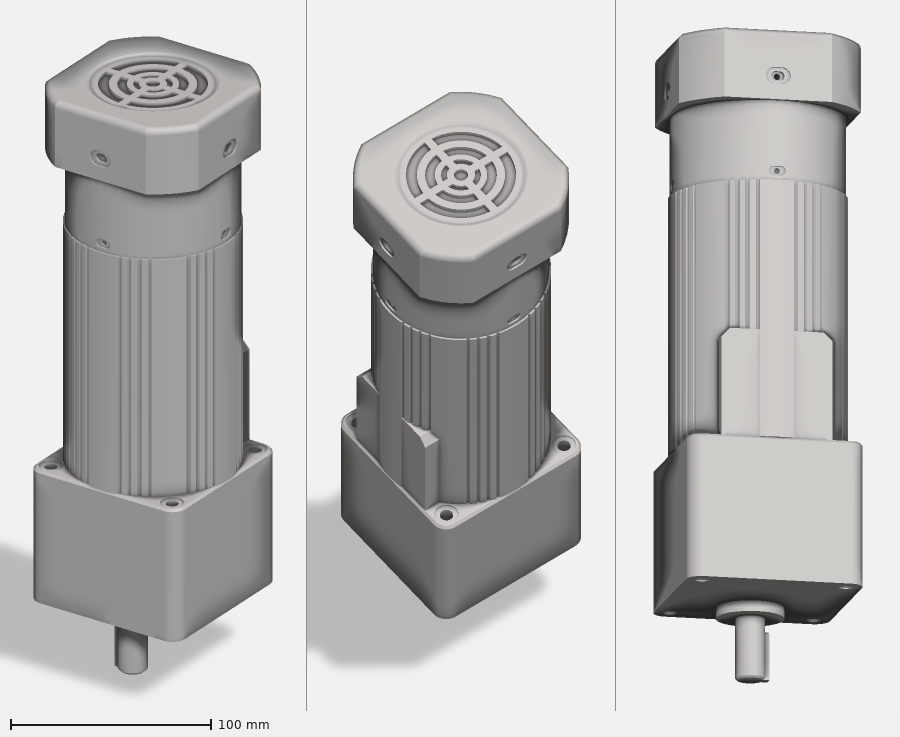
import cadquery as cq
total_height = 319.5
boss_bottom_z = 31.5
gearbox_bottom_z = 37.0
gearbox_top_z = 102.0
flange_top_z = 110.5
stator_top_z = 242.5
head_bottom_z = 283.5

gearbox_size = 90.0
gearbox_corner_radius = 7.7
flange_chamfer = 1.3
mount_hole_offset = 36.7
mount_hole_diameter = 6.7
spotface_diameter = 12.0
spotface_depth = 0.5

shaft_offset_y = -18.0
boss_diameter = 34.2
shaft_diameter = 15.0
shaft_chamfer = 1.0
key_width = 5.0
key_height = 5.0
key_length = 25.0
key_outer_x = -9.3

stator_diameter = gearbox_size
groove_group_count = 8
grooves_per_group = 4
groove_pitch_angle = 6.6
groove_diameter = 2.0

cable_box_length = 57.0
cable_box_outer_y = 43.8
cable_box_inner_y = 32.0
cable_box_side_top_z = 161.0
cable_box_top_z = 165.5
cable_box_slope_run = 4.5

sleeve_diameter = 88.2
head_size = 93.0
head_corner_diameter = 108.0
head_fillet = 3.5

grille_diameter = 66.5
grille_floor_diameter = 62.5
grille_recess_depth = 1.0
grille_slot_depth = 2.5
grille_spoke_width = 4.0
grille_hub_diameter = 7.0
grille_ring_radii = [(7.0, 10.0), (13.0, 18.0), (22.0, 27.5)]

head_opening_z = 295.5
head_pocket_length = 12.5
head_pocket_width = 8.5
head_pocket_depth = 1.0
head_slot_length = 6.7
head_slot_width = 4.8
head_slot_depth = 2.0
cross_hole_diameter = 3.2

screw_seat_z = 247.3
screw_seat_length = 8.5
screw_seat_width = 4.8
screw_seat_depth = 1.0
screw_hole_diameter = 3.0
screw_hole_depth = 3.0

side_angles = [0, 90, 180, 270]


def level(z):
    """Horizontal workplane at height z."""
    return cq.Workplane("XY").workplane(offset=z)


def front_plane(distance, z):
    """Plane facing -Y at the given distance from the Z axis."""
    return cq.Workplane("XZ", origin=(0, -distance, z))


def on_four_sides(cutter):
    """Copies of a -Y side cutter turned onto all four sides."""
    return [cutter.rotate((0, 0, 0), (0, 0, 1), angle) for angle in side_angles]


def rounded_block(bottom_z, top_z):
    block = level(bottom_z).rect(gearbox_size, gearbox_size).extrude(top_z - bottom_z)
    return block.edges("|Z").fillet(gearbox_corner_radius)


def mount_cylinders(diameter, bottom_z, top_z):
    spacing = 2 * mount_hole_offset
    points = level(bottom_z).rect(spacing, spacing, forConstruction=True).vertices()
    return points.circle(diameter / 2).extrude(top_z - bottom_z)


def make_key():
    """Parallel key with a rounded upper end, flush with the shaft end."""
    end_radius = key_width / 2
    straight = key_length - end_radius
    profile = (
        cq.Workplane("YZ", origin=(key_outer_x, shaft_offset_y, 0))
        .moveTo(-end_radius, 0)
        .lineTo(end_radius, 0)
        .lineTo(end_radius, straight)
        .threePointArc((0, key_length), (-end_radius, straight))
        .close()
    )
    return profile.extrude(key_height)


def make_gearbox(key):
    """Gearbox block with its boss and output shaft, slotted for the key."""
    block = rounded_block(gearbox_bottom_z, gearbox_top_z)
    block = block.cut(mount_cylinders(mount_hole_diameter, gearbox_bottom_z, gearbox_top_z))
    boss = (
        level(boss_bottom_z)
        .center(0, shaft_offset_y)
        .circle(boss_diameter / 2)
        .extrude(gearbox_bottom_z - boss_bottom_z)
    )
    shaft = (
        level(0)
        .center(0, shaft_offset_y)
        .circle(shaft_diameter / 2)
        .extrude(boss_bottom_z)
        .faces("<Z")
        .chamfer(shaft_chamfer)
    )
    return block.union(boss).union(shaft).cut(key)


def make_flange():
    """Square flange with spotfaced holes in line with those of the gearbox."""
    flange = rounded_block(gearbox_top_z, flange_top_z).faces(">Z").chamfer(flange_chamfer)
    flange = flange.cut(mount_cylinders(mount_hole_diameter, gearbox_top_z, flange_top_z))
    return flange.cut(mount_cylinders(spotface_diameter, flange_top_z - spotface_depth, flange_top_z))


def groove_angles():
    """Groove directions, centred in each group between two plain bands."""
    group_pitch = 360 / groove_group_count
    for group in range(groove_group_count):
        middle = group_pitch * (group + 0.5)
        for groove in range(grooves_per_group):
            yield middle + (groove - (grooves_per_group - 1) / 2) * groove_pitch_angle


def make_stator():
    """Cylinder with lengthwise round-bottomed grooves."""
    height = stator_top_z - flange_top_z
    stator = level(flange_top_z).circle(stator_diameter / 2).extrude(height)
    groove = (
        level(flange_top_z)
        .center(stator_diameter / 2, 0)
        .circle(groove_diameter / 2)
        .extrude(height)
    )
    for angle in groove_angles():
        stator = stator.cut(groove.rotate((0, 0, 0), (0, 0, 1), angle))
    return stator


def make_cable_box():
    """Box with a flat top that slopes down towards both ends."""
    half = cable_box_length / 2
    flat_half = half - cable_box_slope_run
    profile = cq.Workplane("XZ", origin=(0, cable_box_outer_y, 0)).polyline([
        (-half, flange_top_z),
        (half, flange_top_z),
        (half, cable_box_side_top_z),
        (flat_half, cable_box_top_z),
        (-flat_half, cable_box_top_z),
        (-half, cable_box_side_top_z),
    ]).close()
    return profile.extrude(cable_box_outer_y - cable_box_inner_y)


def make_motor():
    return make_flange().union(make_stator()).union(make_cable_box())


def make_head():
    """Square head whose corners lie on a common cylinder."""
    height = total_height - head_bottom_z
    square = level(head_bottom_z).rect(head_size, head_size).extrude(height)
    corners = level(head_bottom_z).circle(head_corner_diameter / 2).extrude(height)
    return square.intersect(corners).faces(">Z").edges().fillet(head_fillet)


def make_grille_cutter():
    """Shallow conical recess, ring slots broken by two spokes, and a hub hole."""
    floor_z = total_height - grille_recess_depth
    recess = (
        level(floor_z)
        .circle(grille_floor_diameter / 2)
        .workplane(offset=grille_recess_depth)
        .circle(grille_diameter / 2)
        .loft()
    )
    slot_bottom = level(floor_z - grille_slot_depth)
    spokes = slot_bottom.rect(grille_diameter, grille_spoke_width).extrude(grille_slot_depth)
    spokes = spokes.union(slot_bottom.rect(grille_spoke_width, grille_diameter).extrude(grille_slot_depth))
    cutter = recess.union(slot_bottom.circle(grille_hub_diameter / 2).extrude(grille_slot_depth))
    for inner, outer in grille_ring_radii:
        ring = slot_bottom.circle(outer).circle(inner).extrude(grille_slot_depth)
        cutter = cutter.union(ring.cut(spokes))
    return cutter


def make_head_opening():
    """Stepped obround opening in the -Y side of the head."""
    side = head_size / 2
    pocket = (
        front_plane(side - head_pocket_depth, head_opening_z)
        .slot2D(head_pocket_length, head_pocket_width)
        .extrude(head_pocket_depth)
    )
    slot = (
        front_plane(side - head_pocket_depth - head_slot_depth, head_opening_z)
        .slot2D(head_slot_length, head_slot_width)
        .extrude(head_slot_depth)
    )
    cross_hole = front_plane(0, head_opening_z).circle(cross_hole_diameter / 2).extrude(side)
    return pocket.union(slot).union(cross_hole)


def make_screw_seat():
    """Flat obround seat with a screw hole in the -Y side of the sleeve."""
    radius = sleeve_diameter / 2
    seat = (
        front_plane(radius - screw_seat_depth, screw_seat_z)
        .slot2D(screw_seat_length, screw_seat_width)
        .extrude(screw_seat_depth)
    )
    hole = (
        front_plane(radius - screw_hole_depth, screw_seat_z)
        .circle(screw_hole_diameter / 2)
        .extrude(screw_hole_depth)
    )
    return seat.union(hole)


def make_fan_cover():
    """Sleeve and head in one piece, with the grille and side openings."""
    sleeve = level(stator_top_z).circle(sleeve_diameter / 2).extrude(head_bottom_z - stator_top_z)
    cover = sleeve.union(make_head()).cut(make_grille_cutter())
    for cutter in on_four_sides(make_head_opening()) + on_four_sides(make_screw_seat()):
        cover = cover.cut(cutter)
    return cover


key = make_key()
gearbox = make_gearbox(key)
motor = make_motor()
fan_cover = make_fan_cover()

result = cq.Compound.makeCompound([gearbox.val(), key.val(), motor.val(), fan_cover.val()])